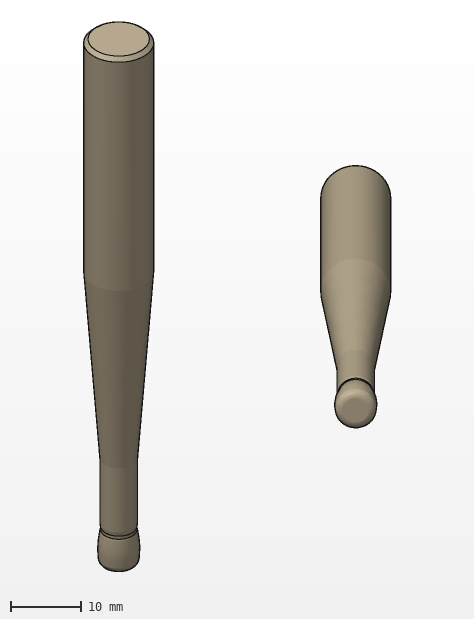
import cadquery as cq
import math

TOTAL_LENGTH = 90.0
SHANK_LENGTH = 40.0
CONE_BOTTOM = 18.0
NECK_BOTTOM = 7.0
SPLIT_HEIGHT = 6.4
COLLAR_BOTTOM = 5.85
BARREL_TOP = 5.6
BARREL_WIDEST = 2.5

SHANK_DIAMETER = 10.0
NECK_DIAMETER = 5.4
COLLAR_DIAMETER = 5.2
BARREL_DIAMETER = 6.0
BARREL_TOP_DIAMETER = 5.4

SHANK_CHAMFER = 0.6
TIP_CORNER_RADIUS = 1.1


def revolve_about_axis(profile):
    """Turn a closed radius-height profile once around the Z axis."""
    return profile.close().revolve(360, (0, 0, 0), (0, 1, 0))


def make_holder():
    """Cylindrical shank tapering to a slim neck with a small end chamfer."""
    shank_radius = SHANK_DIAMETER / 2
    neck_radius = NECK_DIAMETER / 2
    profile = (
        cq.Workplane("XZ")
        .moveTo(0, SPLIT_HEIGHT)
        .lineTo(COLLAR_DIAMETER / 2, SPLIT_HEIGHT)
        .lineTo(neck_radius, NECK_BOTTOM)
        .lineTo(neck_radius, CONE_BOTTOM)
        .lineTo(shank_radius, TOTAL_LENGTH - SHANK_LENGTH)
        .lineTo(shank_radius, TOTAL_LENGTH - SHANK_CHAMFER)
        .lineTo(shank_radius - SHANK_CHAMFER, TOTAL_LENGTH)
        .lineTo(0, TOTAL_LENGTH)
    )
    return revolve_about_axis(profile)


def make_cutting_head():
    """Barrel-shaped head with a rounded lower corner, below a short collar."""
    barrel_radius = BARREL_DIAMETER / 2
    top_radius = BARREL_TOP_DIAMETER / 2
    collar_radius = COLLAR_DIAMETER / 2

    rise = BARREL_TOP - BARREL_WIDEST
    bulge = barrel_radius - top_radius
    flank_radius = (rise**2 + bulge**2) / (2 * bulge)
    flank_centre = barrel_radius - flank_radius
    tip_radius = flank_centre + math.sqrt(flank_radius**2 - BARREL_WIDEST**2)

    profile = (
        cq.Workplane("XZ")
        .moveTo(0, SPLIT_HEIGHT)
        .lineTo(collar_radius, SPLIT_HEIGHT)
        .lineTo(collar_radius, COLLAR_BOTTOM)
        .lineTo(top_radius, BARREL_TOP)
        .threePointArc((barrel_radius, BARREL_WIDEST), (tip_radius, 0))
        .lineTo(0, 0)
    )
    return revolve_about_axis(profile).faces("<Z").edges().fillet(TIP_CORNER_RADIUS)


holder = make_holder()
cutting_head = make_cutting_head()

result = cq.Compound.makeCompound([holder.val(), cutting_head.val()])